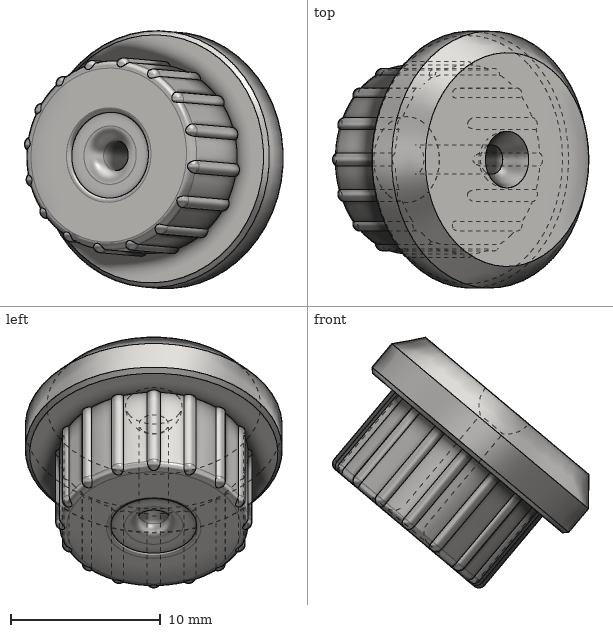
import cadquery as cq
import math

TILT = 40

FLANGE_RADIUS = 8.58
TOP_FACE_RADIUS = 7.13
TOP_BEVEL_HEIGHT = 1.77
LOWER_CHAMFER = 0.3
FLANGE_HEIGHT = 4.12

HUB_RADIUS = 6.31
HUB_HEIGHT = 6.52
EDGE_RADIUS = 0.5
RIB_COUNT = 16
RIB_RADIUS = EDGE_RADIUS
RIB_CENTER_RADIUS = 6.05

BORE_RADIUS = 0.98
SEAT_RADIUS = 1.89
MOUTH_RADIUS = 1.95
RECESS_RADIUS = 3.15
RECESS_DEPTH = 0.2
RECESS_LIP_RADIUS = 0.31

TOTAL_HEIGHT = HUB_HEIGHT + FLANGE_HEIGHT


def make_flange():
    """Disc with a broad upper bevel and a small lower chamfer."""
    profile = [
        (0, HUB_HEIGHT),
        (FLANGE_RADIUS - LOWER_CHAMFER, HUB_HEIGHT),
        (FLANGE_RADIUS, HUB_HEIGHT + LOWER_CHAMFER),
        (FLANGE_RADIUS, TOTAL_HEIGHT - TOP_BEVEL_HEIGHT),
        (TOP_FACE_RADIUS, TOTAL_HEIGHT),
        (0, TOTAL_HEIGHT),
    ]
    return cq.Workplane("XZ").polyline(profile).close().revolve(360, (0, 0), (0, 1))


def make_hub():
    """Cylinder with a rounded lower edge."""
    cylinder = cq.Workplane("XY").circle(HUB_RADIUS).extrude(HUB_HEIGHT)
    return cylinder.faces("<Z").edges().fillet(EDGE_RADIUS)


def make_rib(angle):
    """Round rib along the hub, closed by a ball at its lower end."""
    x = RIB_CENTER_RADIUS * math.cos(math.radians(angle))
    y = RIB_CENTER_RADIUS * math.sin(math.radians(angle))
    base = cq.Workplane("XY").workplane(offset=RIB_RADIUS).center(x, y)
    shaft = base.circle(RIB_RADIUS).extrude(HUB_HEIGHT - RIB_RADIUS)
    return shaft.union(base.sphere(RIB_RADIUS))


def lip_point(angle):
    """Radius and height on the convex recess lip, with the angle in radians from its outer edge."""
    radius = RECESS_RADIUS - RECESS_LIP_RADIUS * math.sin(angle)
    height = RECESS_LIP_RADIUS * (1 - math.cos(angle))
    return radius, height


def make_bore():
    """Through bore, spherical seat, flared mouth and shallow recess with a rounded lip."""
    flare = MOUTH_RADIUS - BORE_RADIUS
    flare_end = RECESS_DEPTH + flare
    arc_offset = flare * math.sqrt(0.5)
    arc_middle = (MOUTH_RADIUS - arc_offset, flare_end - arc_offset)
    lip_angle = math.acos(1 - RECESS_DEPTH / RECESS_LIP_RADIUS)
    bore = (
        cq.Workplane("XZ")
        .moveTo(0, 0)
        .lineTo(RECESS_RADIUS, 0)
        .threePointArc(lip_point(lip_angle / 2), lip_point(lip_angle))
        .lineTo(MOUTH_RADIUS, RECESS_DEPTH)
        .threePointArc(arc_middle, (BORE_RADIUS, flare_end))
        .lineTo(BORE_RADIUS, TOTAL_HEIGHT)
        .lineTo(0, TOTAL_HEIGHT)
        .close()
        .revolve(360, (0, 0), (0, 1))
    )
    seat = cq.Workplane("XY").workplane(offset=TOTAL_HEIGHT).sphere(SEAT_RADIUS)
    return bore.union(seat)


knob = make_flange().union(make_hub())
for index in range(RIB_COUNT):
    knob = knob.union(make_rib(index * 360 / RIB_COUNT))
knob = knob.cut(make_bore())

result = knob.rotate((0, 0, 0), (0, 1, 0), TILT)